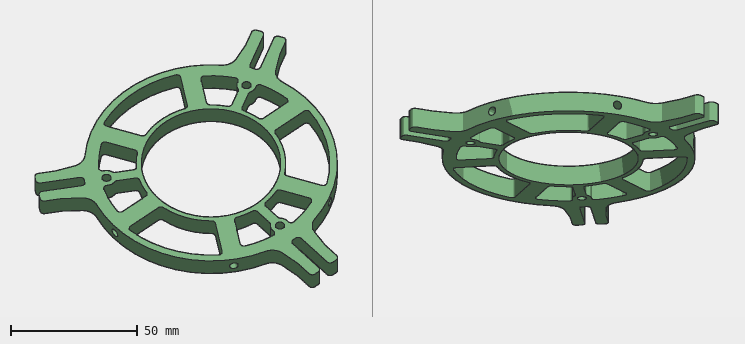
import cadquery as cq
import math

thickness = 8.0
rim_radius = 50.0
bore_radius = 27.5
bore_wall = 2.0
rim_wall = 3.0

window_inner_radius = bore_radius + bore_wall
large_window_outer_radius = rim_radius - rim_wall
small_window_outer_radius = 44.4
spoke_width = 7.7
rib_width = 4.3
window_fillet = 1.5

bolt_circle_radius = 42.0
bolt_hole_diameter = 3.5
boss_radius = 3.8

arm_tip_radius = 69.8
arm_width = 14.3
arm_tip_fillet = 1.6
arm_straight_end_radius = 61.2
arm_flare_angle = 12.5
arm_root_radius = 6.2
arm_root_angle = 14.9
slot_width = 4.3
slot_floor_radius = 50.9
slot_fillet = 1.5

radial_hole_diameter = 3.4
radial_hole_depth = 10.2
radial_hole_tip_angle = 118

arm_angles = (0, 120, 240)
spoke_angles = range(0, 360, 60)


def turn(shape, angle):
    """Turn a shape about the part axis."""
    return shape.rotate((0, 0, 0), (0, 0, 1), angle)


def sector(outer_radius, start_angle, end_angle):
    """Ring sector out to a given radius, shrunk on each side by half a spoke."""
    ring = cq.Workplane("XY").circle(outer_radius).circle(window_inner_radius).extrude(thickness)
    reach = 2 * rim_radius
    start = math.radians(start_angle)
    end = math.radians(end_angle)
    wedge = (
        cq.Workplane("XY")
        .lineTo(reach * math.cos(start), reach * math.sin(start))
        .lineTo(reach * math.cos(end), reach * math.sin(end))
        .close()
        .extrude(thickness)
    )
    cutter = ring.intersect(wedge)
    for angle in (start_angle, end_angle):
        spoke = cq.Workplane("XY").rect(2 * reach, spoke_width).extrude(thickness)
        cutter = cutter.cut(turn(spoke, angle))
    return cutter


def large_window():
    """Window centred on -Y, between two spokes."""
    return sector(large_window_outer_radius, 240, 300).edges("|Z").fillet(window_fillet)


def small_windows():
    """Pair of windows centred on +Y, parted by the rib and the bolt boss."""
    rib = (
        cq.Workplane("XY")
        .center(0, rim_radius / 2)
        .rect(rib_width, rim_radius)
        .extrude(thickness)
    )
    boss = cq.Workplane("XY").center(0, bolt_circle_radius).circle(boss_radius).extrude(thickness)
    pair = sector(small_window_outer_radius, 60, 120).cut(rib).cut(boss)
    return pair.edges("|Z").fillet(window_fillet)


def arm():
    """Arm along +Y with flared, rounded roots."""
    centre_distance = rim_radius + arm_root_radius
    root_angle = math.radians(arm_root_angle)
    centre_x = centre_distance * math.sin(root_angle)
    centre_y = centre_distance * math.cos(root_angle)

    def root_point(degrees):
        """Point on the root arc, measured from +X about the arc centre."""
        angle = math.radians(degrees)
        return (centre_x + arm_root_radius * math.cos(angle), centre_y + arm_root_radius * math.sin(angle))

    flare_end = 180 + arm_flare_angle
    rim_end = 270 - arm_root_angle
    body = (
        cq.Workplane("XY")
        .moveTo(0, small_window_outer_radius)
        .lineTo(*root_point(rim_end))
        .threePointArc(root_point((flare_end + rim_end) / 2), root_point(flare_end))
        .lineTo(arm_width / 2, arm_straight_end_radius)
        .lineTo(arm_width / 2, arm_tip_radius)
        .lineTo(0, arm_tip_radius)
        .close()
        .extrude(thickness)
    )
    return body.union(body.mirror("YZ"))


def slot():
    """Slot along +Y, open at the arm tip, with a rounded floor."""
    length = arm_tip_radius - slot_floor_radius
    return (
        cq.Workplane("XY")
        .center(0, slot_floor_radius + length / 2)
        .rect(slot_width, length)
        .extrude(thickness)
        .edges("|Z and <Y")
        .fillet(slot_fillet)
    )


def bolt_hole():
    """Through hole in the boss on the +Y rib."""
    return cq.Workplane("XY").center(0, bolt_circle_radius).circle(bolt_hole_diameter / 2).extrude(thickness)


def radial_hole():
    """Blind hole along X into the rim, ending in a drill-point cone."""
    radius = radial_hole_diameter / 2
    tip_length = radius / math.tan(math.radians(radial_hole_tip_angle / 2))
    floor_x = rim_radius - radial_hole_depth
    mouth_x = rim_radius + radius
    half_profile = (
        cq.Workplane("XY", origin=(0, 0, thickness / 2))
        .moveTo(floor_x - tip_length, 0)
        .lineTo(floor_x, radius)
        .lineTo(mouth_x, radius)
        .lineTo(mouth_x, 0)
        .close()
    )
    return half_profile.revolve(360, (0, 0, 0), (1, 0, 0))


bore = cq.Workplane("XY").circle(bore_radius).extrude(thickness)
tipped_arm = arm().cut(slot()).edges("|Z and >Y").fillet(arm_tip_fillet)
arm_cutters = (slot(), small_windows(), bolt_hole(), large_window())

result = cq.Workplane("XY").circle(rim_radius).extrude(thickness).cut(bore)
for arm_angle in arm_angles:
    result = result.union(turn(tipped_arm, arm_angle))
    for cutter in arm_cutters:
        result = result.cut(turn(cutter, arm_angle))
for spoke_angle in spoke_angles:
    result = result.cut(turn(radial_hole(), spoke_angle))